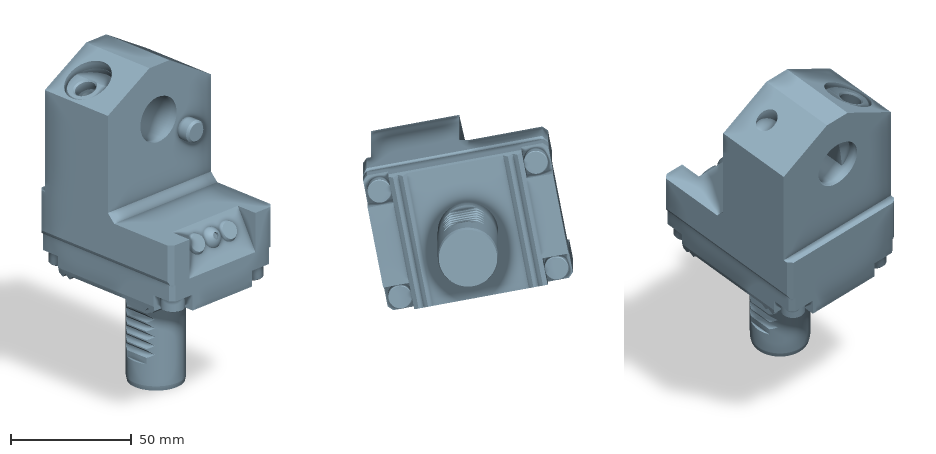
import cadquery as cq
import math

LARGE = 143.0

base_length = 78.0
base_width = 60.0
base_top = 32.7
lower_width = 58.3
corner_chamfer = 2.0
band_bottom = 14.6
band_top = 16.3
skirt_top = 2.0
skirt_width = 56.6

upright_left = -35.0
upright_right = 2.0
upright_top = 94.4
left_step_top = 34.5
root_chamfer = 3.7
crest_width = 11.6
roof_angle = 30.0

bore_diameter = 20.0
bore_mouth_diameter = 21.0
bore_height = 69.6
bore_relief_diameter = 20.5
bore_relief_shift = 0.9

clamp_x = -20.0
clamp_tilt = 22.0
clamp_axis_y = -19.0
clamp_face_z = 84.5
clamp_bore_diameter = 21.0
clamp_flat_diameter = 20.0
clamp_edge_chamfer = 1.0
clamp_flat_z = 85.2
clamp_jaw_y = -7.0
socket_offset = 2.7
socket_diameter = 10.5
socket_depth = 4.9
socket_chamfer = 0.7
screw_hole_diameter = 6.0
screw_hole_chamfer = 0.9
screw_hole_depth = 2.1

recess_x = -10.5
recess_y = 17.0
recess_diameter = 9.0
recess_floor = 85.1

pin_diameter = 10.0
pin_length = 6.0
pin_chamfer = 1.0
pin_y = 15.6
pin_z = 60.6

pocket_start = 28.7
pocket_width = 38.3
pocket_tilt = 60.0
ball_diameter = 10.0
ball_pitch = 9.3
ball_sink = 1.9
ball_along_slope = 8.0
plug_height = 1.5
nozzle_diameter = 3.0
nozzle_depth = 1.5

notch_top = 7.2
notch_x = 28.0
notch_y = 17.3
screw_diameter = 10.0
screw_bottom = 1.1
screw_chamfer = 0.3
screw_x = 32.9
screw_y = 22.9

tooth_pitch = 4.0
tooth_height = 1.9
tooth_centre = 24.2

shank_diameter = 25.0
shank_end_diameter = 24.2
shank_length = 48.6
shank_end_chamfer = 2.1
shank_neck_length = 1.0
shank_shoulder_chamfer = 0.7
flat_top = -7.3
flat_bottom = -36.8
flat_y = 11.2
groove_count = 6
groove_first = -12.2
groove_pitch = 4.0
groove_depth = 2.0
groove_half_height = 1.7


def box(x0, x1, y0, y1, z0, z1):
    size = (x1 - x0, y1 - y0, z1 - z0)
    return cq.Workplane("XY").box(*size, centered=False).translate((x0, y0, z0))


def chamfered_block(width, z0, z1):
    block = cq.Workplane("XY", origin=(0, 0, z0)).rect(base_length, width).extrude(z1 - z0)
    return block.edges("|Z").chamfer(corner_chamfer)


def centred_prism(half_outline, length):
    """Extrude a Y-Z half outline, mirrored about Y = 0, evenly along X."""
    mirrored = [(-y, z) for y, z in reversed(half_outline)]
    outline = cq.Workplane("YZ").polyline(half_outline + mirrored).close()
    return outline.extrude(length / 2, both=True)


def make_body():
    roof_drop = (base_width - crest_width) / 2 * math.tan(math.radians(roof_angle))
    body = chamfered_block(base_width, band_bottom, base_top)
    step_block = chamfered_block(base_width, band_bottom, left_step_top)
    body = body.union(step_block.intersect(box(-LARGE, 0, -LARGE, LARGE, 0, LARGE)))
    upright_outline = [
        (upright_left, band_top),
        (upright_left, upright_top),
        (upright_right, upright_top),
        (upright_right, base_top + root_chamfer),
        (upright_right + root_chamfer, base_top),
        (upright_right + root_chamfer, band_top),
    ]
    upright = cq.Workplane("XZ").polyline(upright_outline).close().extrude(base_width / 2, both=True)
    body = body.union(upright)
    body = body.union(chamfered_block(lower_width, 0, band_top))
    envelope = [
        (skirt_width / 2, -tooth_height),
        (lower_width / 2, skirt_top),
        (lower_width / 2, band_bottom),
        (base_width / 2, band_top),
        (base_width / 2, upright_top - roof_drop),
        (crest_width / 2, upright_top),
    ]
    body = body.union(make_teeth())
    return body.intersect(centred_prism(envelope, base_length))


def make_teeth():
    teeth = cq.Workplane("XZ")
    for side in (-1, 1):
        for offset in (-tooth_pitch / 2, tooth_pitch / 2):
            x = side * tooth_centre + offset
            corners = [(x - tooth_pitch / 2, 0), (x + tooth_pitch / 2, 0), (x, -tooth_height)]
            teeth = teeth.polyline(corners).close()
    return teeth.extrude(lower_width / 2, both=True)


def clamp_plane():
    """Top face of the clamp bolt, with its normal along the bolt axis."""
    tilt = math.radians(clamp_tilt)
    axis = cq.Vector(0, -math.sin(tilt), math.cos(tilt))
    return cq.Plane(origin=(clamp_x, clamp_axis_y, clamp_face_z), xDir=(1, 0, 0), normal=axis)


def revolve_on(plane, outline):
    """Revolve a radius-height outline about the normal of a plane."""
    solid = cq.Workplane("XZ").polyline(outline).close().revolve(360, (0, 0, 0), (0, 1, 0))
    return cq.Workplane(obj=solid.val().moved(cq.Location(plane)))


def cut_bore(body):
    length = upright_right - upright_left
    bore_start = cq.Workplane("YZ", origin=(upright_left, 0, bore_height))
    bore = bore_start.circle(bore_diameter / 2).extrude(length)
    relief = bore_start.center(-bore_relief_shift, 0).circle(bore_relief_diameter / 2).extrude(length)
    bore = bore.union(relief)
    jaw = cq.Workplane(clamp_plane()).circle(clamp_bore_diameter / 2).extrude(LARGE, both=True)
    jaw = jaw.intersect(box(-LARGE, LARGE, -LARGE, clamp_jaw_y, 0, LARGE))
    mouth_radius = bore_mouth_diameter / 2
    mouth = revolve_on(
        cq.Plane(origin=(upright_left, 0, bore_height), xDir=(0, 1, 0), normal=(1, 0, 0)),
        [(0, 0), (mouth_radius, 0), (0, mouth_radius)],
    )
    return body.cut(bore.union(mouth).cut(jaw))


def cut_clamp(body):
    plane = clamp_plane()
    radius = clamp_bore_diameter / 2
    bore_outline = [
        (0, 0),
        (radius - clamp_edge_chamfer, 0),
        (radius, -clamp_edge_chamfer),
        (radius, base_width),
        (0, base_width),
    ]
    body = body.cut(revolve_on(plane, bore_outline))
    flat = cq.Workplane(plane).circle(clamp_flat_diameter / 2).extrude(base_width, both=True)
    body = body.cut(flat.intersect(box(-LARGE, LARGE, -LARGE, 0, clamp_flat_z, LARGE)))
    socket_radius = socket_diameter / 2
    hole_radius = screw_hole_diameter / 2
    tip_radius = hole_radius - screw_hole_chamfer
    hole_bottom = -socket_depth - screw_hole_depth
    socket_outline = [
        (0, 0),
        (socket_radius, 0),
        (socket_radius - socket_chamfer, -socket_chamfer),
        (socket_radius - socket_chamfer, -socket_depth),
        (hole_radius, -socket_depth),
        (tip_radius, -socket_depth - screw_hole_chamfer),
        (tip_radius, hole_bottom),
        (0, hole_bottom - tip_radius),
    ]
    socket_plane = cq.Workplane(plane).center(0, -socket_offset).plane
    return body.cut(revolve_on(socket_plane, socket_outline))


def cut_recess(body):
    recess = cq.Workplane("XY", origin=(recess_x, recess_y, recess_floor))
    return body.cut(recess.circle(recess_diameter / 2).extrude(LARGE))


def make_pin():
    pin = cq.Workplane("YZ", origin=(upright_right, pin_y, pin_z))
    pin = pin.circle(pin_diameter / 2).extrude(pin_length)
    return pin.faces(">X").chamfer(pin_chamfer)


def add_nozzles(body):
    tilt = math.radians(pocket_tilt)
    floor = cq.Plane(
        origin=(pocket_start, 0, base_top),
        xDir=(math.cos(tilt), 0, -math.sin(tilt)),
        normal=(math.sin(tilt), 0, math.cos(tilt)),
    )
    slope_length = (base_length / 2 - pocket_start) / math.cos(tilt)
    pocket = cq.Workplane(floor).center(slope_length / 2, 0).rect(slope_length, pocket_width)
    body = body.cut(pocket.extrude(slope_length))
    for place in (-1, 0, 1):
        centre = cq.Workplane(floor).center(ball_along_slope, place * ball_pitch)
        ball = centre.workplane(offset=-ball_sink).sphere(ball_diameter / 2)
        if place == 0:
            ball_rise = ball_diameter / 2 - ball_sink
            nozzle = centre.workplane(offset=ball_rise).circle(nozzle_diameter / 2).extrude(-nozzle_depth)
            ball = ball.cut(nozzle)
        else:
            ball = ball.intersect(centre.rect(LARGE, LARGE).extrude(plug_height))
        body = body.union(ball)
    return body


def cut_notches_add_screws(body):
    for x_side in (-1, 1):
        for y_side in (-1, 1):
            notch = box(notch_x, base_length, notch_y, base_width, -tooth_height, notch_top)
            screw = cq.Workplane("XY", origin=(screw_x, screw_y, screw_bottom))
            screw = screw.circle(screw_diameter / 2).extrude(notch_top - screw_bottom)
            screw = screw.faces("<Z").chamfer(screw_chamfer)
            notch = notch.cut(screw)
            if x_side < 0:
                notch = notch.mirror("YZ")
            if y_side < 0:
                notch = notch.mirror("XZ")
            body = body.cut(notch)
    return body


def make_shank():
    radius = shank_diameter / 2
    end_radius = shank_end_diameter / 2
    outline = [
        (0, skirt_top),
        (end_radius, skirt_top),
        (end_radius, -shank_neck_length),
        (radius, -shank_neck_length - shank_shoulder_chamfer),
        (radius, shank_end_chamfer - shank_length),
        (end_radius, -shank_length),
        (0, -shank_length),
    ]
    shank = cq.Workplane("XZ").polyline(outline).close().revolve(360, (0, 0, 0), (0, 1, 0))
    flat_outline = [(radius, flat_top), (flat_y, flat_top)]
    for i in range(groove_count):
        z = groove_first - i * groove_pitch
        flat_outline += [
            (flat_y, z + groove_half_height),
            (flat_y - groove_depth, z),
            (flat_y, z - groove_half_height),
        ]
    flat_outline += [(flat_y, flat_bottom), (radius, flat_bottom)]
    flat = cq.Workplane("YZ").polyline(flat_outline).close().extrude(shank_diameter / 2, both=True)
    return shank.cut(flat).cut(flat.mirror("XZ"))


result = make_body()
result = cut_bore(result)
result = cut_clamp(result)
result = cut_recess(result)
result = add_nozzles(result)
result = cut_notches_add_screws(result)
result = result.union(make_pin()).union(make_shank())